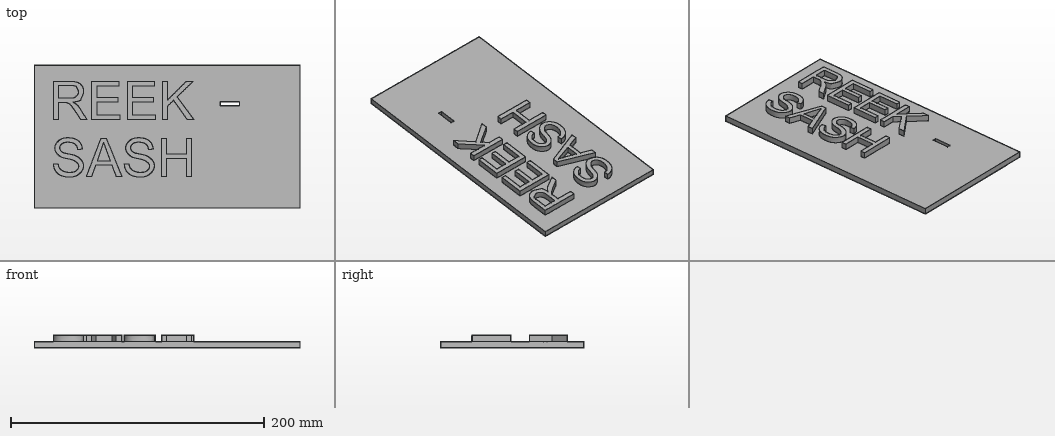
import cadquery as cq

plate_length = 210.0
plate_width = 113.0
plate_thickness = 5.0

slot_length = 15.0
slot_width = 3.0
slot_center = (154.5, 82.5)

relief_height = 5.0
cap_height = 30.1
stem_width = 4.0
arm_width = 3.5

text_left = 15.0
upper_baseline = 70.0
lower_baseline = 25.0

upper_letter_offsets = (0.0, 30.3, 58.4, 86.1)
lower_letter_offsets = (0.0, 26.1, 56.0, 85.5)

e_top_length = 21.7
e_middle_length = 20.6
e_bottom_length = 22.4
e_middle_height = 13.8

h_width = 23.6
h_bar_height = 14.2

bowl_floor = 16.8
bowl_underside = 13.35
bowl_ceiling = 26.7


def letter_sketch():
    """Workplane with the origin on the baseline, at the left edge of the letter."""
    return cq.Workplane("XY")


def make_bar(left, bottom, length, height):
    """Straight rectangular stroke of a letter."""
    return letter_sketch().rect(length, height, centered=False).extrude(relief_height).translate((left, bottom, 0))


def make_e():
    letter = make_bar(0, 0, stem_width, cap_height)
    letter = letter.union(make_bar(0, 0, e_bottom_length, arm_width))
    letter = letter.union(make_bar(0, e_middle_height, e_middle_length, arm_width))
    return letter.union(make_bar(0, cap_height - arm_width, e_top_length, arm_width))


def make_h():
    letter = make_bar(0, 0, stem_width, cap_height)
    letter = letter.union(make_bar(h_width - stem_width, 0, stem_width, cap_height))
    return letter.union(make_bar(0, h_bar_height, h_width, arm_width))


def make_k():
    outline = [
        (0, 0),
        (0, cap_height),
        (stem_width, cap_height),
        (stem_width, 15.2),
        (18.9, cap_height),
        (24.3, cap_height),
        (11.7, 17.9),
        (24.9, 0),
        (19.6, 0),
        (8.9, 15.2),
        (stem_width, 10.4),
        (stem_width, 0),
    ]
    return letter_sketch().polyline(outline).close().extrude(relief_height)


def make_a():
    bar_underside = 9.1
    opening_floor = 12.3
    outline = [
        (0, 0),
        (11.5, cap_height),
        (15.8, cap_height),
        (28.1, 0),
        (23.6, 0),
        (20.1, bar_underside),
        (7.5, bar_underside),
        (4.2, 0),
    ]
    opening = [(8.7, opening_floor), (18.9, opening_floor), (13.6, 27.0)]
    letter = letter_sketch().polyline(outline).close().extrude(relief_height)
    return letter.cut(letter_sketch().polyline(opening).close().extrude(relief_height))


def make_r():
    bowl_outside = [(22.8, 26.4), (24.0, 21.9), (22.0, 16.5), (15.6, 13.7)]
    leg_outside = [(18.0, 12.2), (21.3, 8.2)]
    leg_inside = [(14.6, 10.4), (12.6, 12.4), (8.6, bowl_underside)]
    letter = (
        letter_sketch()
        .lineTo(0, cap_height)
        .lineTo(13.3, cap_height)
        .spline(bowl_outside, tangents=[(1, 0), (-1, -0.15)], includeCurrent=True)
        .spline(leg_outside, includeCurrent=True)
        .lineTo(26.5, 0)
        .lineTo(21.5, 0)
        .lineTo(17.5, 6.3)
        .spline(leg_inside, includeCurrent=True)
        .lineTo(stem_width, bowl_underside)
        .lineTo(stem_width, 0)
        .close()
        .extrude(relief_height)
    )
    bowl_inside = [(16.8, 17.4), (19.9, 21.9), (18.4, 25.4), (13.5, bowl_ceiling)]
    opening = (
        letter_sketch()
        .moveTo(stem_width, bowl_floor)
        .lineTo(12.5, bowl_floor)
        .spline(bowl_inside, tangents=[(1, 0), (-1, 0)], includeCurrent=True)
        .lineTo(stem_width, bowl_ceiling)
        .close()
        .extrude(relief_height)
    )
    return letter.cut(opening)


def make_s():
    """S-shaped band between two smooth edges, cut off at both ends."""
    upper_edge = [
        (5.0, 6.3),
        (12.6, 3.1),
        (19.2, 5.6),
        (20.1, 8.2),
        (16.6, 12.4),
        (5.4, 15.8),
        (1.1, 22.3),
        (6.2, 29.6),
        (11.7, 30.6),
        (17.6, 29.5),
        (23.0, 21.6),
    ]
    lower_edge = [
        (17.1, 25.6),
        (11.9, 27.1),
        (6.6, 25.7),
        (5.0, 22.6),
        (6.2, 19.9),
        (12.2, 17.7),
        (18.8, 15.8),
        (23.9, 8.5),
        (18.6, 0.7),
        (12.8, -0.5),
        (6.0, 0.7),
        (0, 9.7),
    ]
    return (
        letter_sketch()
        .moveTo(0, 9.7)
        .lineTo(3.8, 10.0)
        .spline(upper_edge, includeCurrent=True)
        .lineTo(19.2, 21.3)
        .spline(lower_edge, includeCurrent=True)
        .close()
        .extrude(relief_height)
    )


def make_plate():
    plate = cq.Workplane("XY").box(plate_length, plate_width, plate_thickness, centered=False)
    slot = cq.Workplane("XY").center(*slot_center).rect(slot_length, slot_width).extrude(plate_thickness)
    return plate.cut(slot)


def add_line(body, letters, offsets, baseline):
    """Stand a row of letters on the top face of the plate."""
    for letter, offset in zip(letters, offsets):
        body = body.union(letter.translate((text_left + offset, baseline, plate_thickness)))
    return body


upper_letters = [make_r(), make_e(), make_e(), make_k()]
lower_letters = [make_s(), make_a(), make_s(), make_h()]

result = make_plate()
result = add_line(result, upper_letters, upper_letter_offsets, upper_baseline)
result = add_line(result, lower_letters, lower_letter_offsets, lower_baseline)